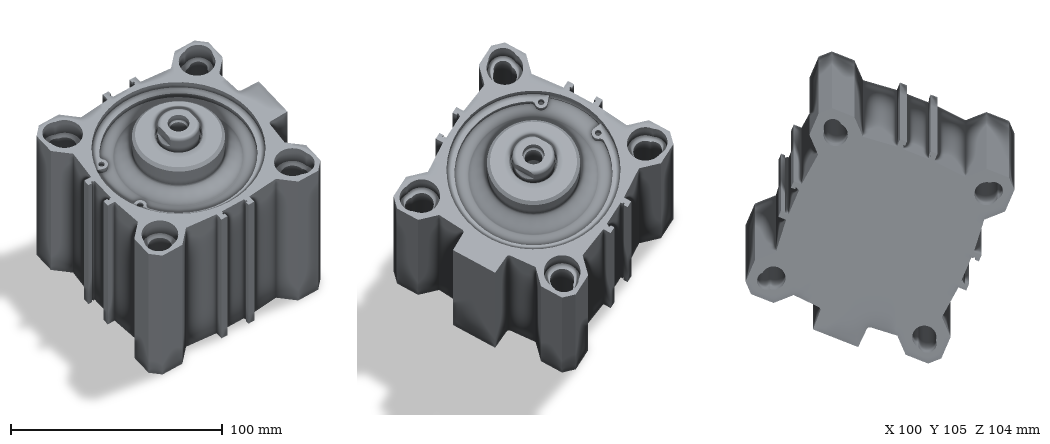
import cadquery as cq
import math

BODY_WIDTH = 100.0
BODY_DEPTH = 105.0
BODY_HEIGHT = 86.0
COLLAR_TOP = 96.0
ROD_TOP = 104.0
HALF_WIDTH = BODY_WIDTH / 2
MARGIN = 1.0

FACE_OFFSET = 44.0
CORNER_CHAMFER = 4.7
CORNER_FLAT_END = 33.7
CORNER_FLANK = 7.6
PORT_SIDE_FLANK = 7.2

RAIL_TIP = 48.0
RAIL_OUTER = 9.6
RAIL_LIP = 6.1
RAIL_NECK = 6.5
RAIL_NOTCH = 7.0
RAIL_NOTCH_START = 44.9
RAIL_NOTCH_END = 45.9

PORT_FACE = BODY_DEPTH - HALF_WIDTH
PORT_ROOT_HALF_WIDTH = 12.0
PORT_FACE_HALF_WIDTH = 11.5
PORT_ROOT_FILLET = 1.6

MOUNT_PITCH = 77.1
MOUNT_DIAMETER = 11.4
MOUNT_COUNTERBORE = 17.3
RELIEF_PITCH = 82.1
RELIEF_DIAMETER = 8.8
RELIEF_COUNTERBORE = 14.0
COUNTERBORE_DEPTH = 9.1

BORE_DIAMETER = 82.1
GROOVE_DIAMETER = 85.6
RING_INNER_DIAMETER = 74.5
RING_DEPTH = 3.7
RING_THICKNESS = 2.7
RING_TOP = BODY_HEIGHT - RING_DEPTH
RING_BOTTOM = RING_TOP - RING_THICKNESS
RING_HALF_GAP = 20.3
LUG_RADIUS = 3.0
LUG_REACH = 36.9
LUG_HOLE_DIAMETER = 3.0
LUG_ROOT_FILLET = 2.1

COVER_DIAMETER = 81.7
COVER_FLANGE_THICKNESS = 10.5
COVER_FLOOR = RING_BOTTOM - COVER_FLANGE_THICKNESS
CONE_DIAMETER = 61.5
CONE_TOP = BODY_HEIGHT - 1.5
CONE_FILLET = 0.8
COLLAR_DIAMETER = 44.0
COLLAR_CHAMFER = 1.5
WIPER_DIAMETER = 21.9
WIPER_CHAMFER = 0.5
WIPER_DEPTH = 3.2
CLEARANCE_DIAMETER = 20.6
CLEARANCE_DEPTH = 6.3

ROD_DIAMETER = 20.0
ROD_FILLET = 1.8
FLATS_WIDTH = 17.0
FLATS_HEIGHT = 5.8
THREAD_DIAMETER = 8.4
THREAD_DEPTH = 15.8
ENTRY_DIAMETER = 10.3
ENTRY_DEPTH = 3.6
DRILL_POINT_ANGLE = 118.0
DRILL_SLOPE = 1 / math.tan(math.radians(DRILL_POINT_ANGLE / 2))


def disc(diameter, bottom, top):
    """Upright cylinder on the Z axis."""
    return cq.Workplane("XY").workplane(offset=bottom).circle(diameter / 2).extrude(top - bottom)


def housing_blank():
    """Cross-shaped profile with four chamfered corner blocks."""
    outline = []
    for angle in (0, 90, 180, 270):
        flank = PORT_SIDE_FLANK if angle == 90 else CORNER_FLANK
        half_side = [
            (FACE_OFFSET, RAIL_OUTER),
            (HALF_WIDTH - flank, CORNER_FLAT_END - flank),
            (HALF_WIDTH, CORNER_FLAT_END),
            (HALF_WIDTH, HALF_WIDTH - CORNER_CHAMFER),
        ]
        side = [(x, -y) for x, y in reversed(half_side)] + half_side
        turn = math.radians(angle)
        outline += [
            (x * math.cos(turn) - y * math.sin(turn), x * math.sin(turn) + y * math.cos(turn))
            for x, y in side
        ]
    return cq.Workplane("XY").polyline(outline).close().extrude(BODY_HEIGHT)


def rail_pair():
    """Two hooked rails facing each other on the -Y side."""
    root = FACE_OFFSET - MARGIN
    hook = [
        (RAIL_OUTER, -root),
        (RAIL_OUTER, -RAIL_TIP),
        (RAIL_LIP, -RAIL_TIP),
        (RAIL_LIP, -RAIL_NOTCH_END),
        (RAIL_NOTCH, -RAIL_NOTCH_END),
        (RAIL_NOTCH, -RAIL_NOTCH_START),
        (RAIL_NECK, -RAIL_NOTCH_START),
        (RAIL_NECK, -root),
    ]
    rail = cq.Workplane("XY").polyline(hook).close().extrude(BODY_HEIGHT)
    return rail.union(rail.mirror("YZ"))


def port_boss():
    """Slightly tapered full-height boss on the +Y side."""
    root = FACE_OFFSET - MARGIN
    outline = [
        (-PORT_ROOT_HALF_WIDTH, root),
        (-PORT_FACE_HALF_WIDTH, PORT_FACE),
        (PORT_FACE_HALF_WIDTH, PORT_FACE),
        (PORT_ROOT_HALF_WIDTH, root),
    ]
    return cq.Workplane("XY").polyline(outline).close().extrude(BODY_HEIGHT)


def corner_cut(pitch, hole_diameter, counterbore_diameter):
    """Four through holes with counterbores from the top."""
    return (
        cq.Workplane("XY").rect(pitch, pitch, forConstruction=True).vertices()
        .circle(hole_diameter / 2).extrude(BODY_HEIGHT)
        .union(
            cq.Workplane("XY").workplane(offset=BODY_HEIGHT - COUNTERBORE_DEPTH)
            .rect(pitch, pitch, forConstruction=True).vertices()
            .circle(counterbore_diameter / 2).extrude(COUNTERBORE_DEPTH)
        )
    )


def make_housing():
    body = housing_blank().union(port_boss())
    boss_root = cq.selectors.BoxSelector(
        (-PORT_ROOT_HALF_WIDTH - MARGIN, FACE_OFFSET - MARGIN / 2, 0),
        (PORT_ROOT_HALF_WIDTH + MARGIN, FACE_OFFSET + MARGIN / 2, BODY_HEIGHT),
    )
    body = body.edges("|Z").edges(boss_root).fillet(PORT_ROOT_FILLET)
    for angle in (0, 90, -90):
        body = body.union(rail_pair().rotate((0, 0, 0), (0, 0, 1), angle))
    body = body.cut(corner_cut(MOUNT_PITCH, MOUNT_DIAMETER, MOUNT_COUNTERBORE))
    body = body.cut(corner_cut(RELIEF_PITCH, RELIEF_DIAMETER, RELIEF_COUNTERBORE))
    body = body.cut(disc(BORE_DIAMETER, COVER_FLOOR, BODY_HEIGHT))
    return body.cut(disc(GROOVE_DIAMETER, RING_BOTTOM, RING_TOP))


def make_rod_cover():
    cone_radius = CONE_DIAMETER / 2
    collar_radius = COLLAR_DIAMETER / 2
    half_section = [
        (0, COVER_FLOOR),
        (COVER_DIAMETER / 2, COVER_FLOOR),
        (COVER_DIAMETER / 2, RING_BOTTOM),
        (cone_radius, RING_BOTTOM),
        (collar_radius, CONE_TOP),
        (collar_radius, COLLAR_TOP),
        (0, COLLAR_TOP),
    ]
    cover = cq.Workplane("XZ").polyline(half_section).close().revolve(360, (0, 0, 0), (0, 1, 0))
    cover = cover.faces(">Z").edges().chamfer(COLLAR_CHAMFER)
    cone_edges = cq.selectors.BoxSelector(
        (-cone_radius - MARGIN, -cone_radius - MARGIN, RING_BOTTOM - MARGIN),
        (cone_radius + MARGIN, cone_radius + MARGIN, CONE_TOP + MARGIN),
        boundingbox=True,
    )
    cover = cover.edges("%CIRCLE").edges(cone_edges).fillet(CONE_FILLET)
    cover = cover.cut(disc(ROD_DIAMETER, COVER_FLOOR, COLLAR_TOP))
    cover = cover.cut(disc(CLEARANCE_DIAMETER, COLLAR_TOP - CLEARANCE_DEPTH, COLLAR_TOP))
    cover = cover.cut(disc(WIPER_DIAMETER, COLLAR_TOP - WIPER_DEPTH, COLLAR_TOP))
    wiper_rim = cq.selectors.RadiusNthSelector(0)
    return cover.faces(">Z").edges(wiper_rim).chamfer(WIPER_CHAMFER)


def ring_lug():
    """Plier lug for a gap edge that lies along +X."""
    lug = (
        cq.Workplane("XY").workplane(offset=RING_BOTTOM)
        .center(LUG_REACH, LUG_RADIUS).circle(LUG_RADIUS).extrude(RING_THICKNESS)
    )
    web = (
        cq.Workplane("XY").workplane(offset=RING_BOTTOM).center(LUG_REACH, 0)
        .rect(GROOVE_DIAMETER / 2 - LUG_REACH, LUG_RADIUS, centered=False).extrude(RING_THICKNESS)
    )
    return lug.union(web)


def make_retaining_ring():
    outside = disc(GROOVE_DIAMETER, RING_BOTTOM, RING_TOP)
    ring = outside.cut(disc(RING_INNER_DIAMETER, RING_BOTTOM, RING_TOP))
    reach = GROOVE_DIAMETER
    spread = reach * math.tan(math.radians(RING_HALF_GAP))
    gap = (
        cq.Workplane("XY").workplane(offset=RING_BOTTOM)
        .polyline([(0, 0), (spread, -reach), (-spread, -reach)]).close().extrude(RING_THICKNESS)
    )
    lug = ring_lug().rotate((0, 0, 0), (0, 0, 1), RING_HALF_GAP - 90).intersect(outside)
    ring = ring.cut(gap).union(lug).union(lug.mirror("YZ"))

    ring_radius = RING_INNER_DIAMETER / 2
    lug_distance = math.hypot(LUG_REACH, LUG_RADIUS)
    lug_angle = math.radians(RING_HALF_GAP) + math.atan2(LUG_RADIUS, LUG_REACH)
    root_turn = math.acos(
        (lug_distance**2 + ring_radius**2 - LUG_RADIUS**2) / (2 * lug_distance * ring_radius)
    )
    root_x = ring_radius * math.sin(lug_angle + root_turn)
    root_y = -ring_radius * math.cos(lug_angle + root_turn)
    for side in (-1, 1):
        root = cq.selectors.NearestToPointSelector((side * root_x, root_y, RING_TOP - RING_THICKNESS / 2))
        ring = ring.edges("|Z").edges(root).fillet(LUG_ROOT_FILLET)

    lug_x = lug_distance * math.sin(lug_angle)
    lug_y = -lug_distance * math.cos(lug_angle)
    holes = (
        cq.Workplane("XY").workplane(offset=RING_BOTTOM).pushPoints([(-lug_x, lug_y), (lug_x, lug_y)])
        .circle(LUG_HOLE_DIAMETER / 2).extrude(RING_THICKNESS)
    )
    return ring.cut(holes)


def thread_cut():
    """Drilled hole with a wider entry, both ending in drill-point cones."""
    thread_radius = THREAD_DIAMETER / 2
    entry_radius = ENTRY_DIAMETER / 2
    entry_floor = ROD_TOP - ENTRY_DEPTH
    thread_floor = ROD_TOP - THREAD_DEPTH
    half_section = [
        (0, ROD_TOP),
        (entry_radius, ROD_TOP),
        (entry_radius, entry_floor),
        (thread_radius, entry_floor - (entry_radius - thread_radius) * DRILL_SLOPE),
        (thread_radius, thread_floor),
        (0, thread_floor - thread_radius * DRILL_SLOPE),
    ]
    return cq.Workplane("XZ").polyline(half_section).close().revolve(360, (0, 0, 0), (0, 1, 0))


def flat_cut():
    """Wrench flat on the +Y side, running out at 45 degrees below."""
    flat = FLATS_WIDTH / 2
    depth = ROD_DIAMETER / 2 - flat
    flat_bottom = ROD_TOP - FLATS_HEIGHT
    section = [
        (flat, ROD_TOP),
        (flat, flat_bottom),
        (flat + depth, flat_bottom - depth),
        (flat + depth, ROD_TOP),
    ]
    return cq.Workplane("YZ").polyline(section).close().extrude(ROD_DIAMETER / 2, both=True)


def make_piston_rod():
    rod = disc(ROD_DIAMETER, COVER_FLOOR, ROD_TOP).faces(">Z").edges().fillet(ROD_FILLET)
    rod = rod.cut(flat_cut()).cut(flat_cut().mirror("XZ"))
    return rod.cut(thread_cut())


housing = make_housing()
rod_cover = make_rod_cover()
retaining_ring = make_retaining_ring()
piston_rod = make_piston_rod()

result = cq.Compound.makeCompound([
    housing.solids().val(),
    rod_cover.solids().val(),
    retaining_ring.solids().val(),
    piston_rod.solids().val(),
])